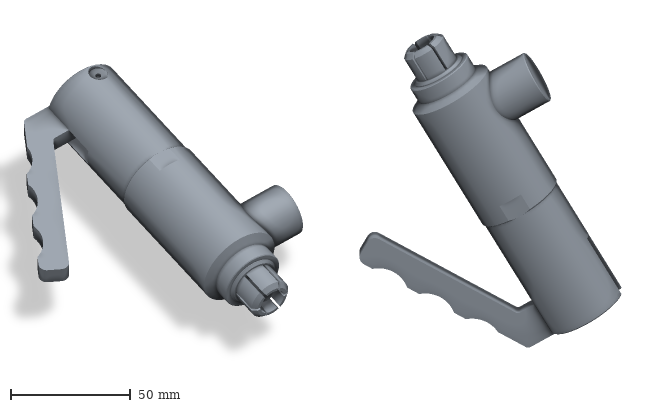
import cadquery as cq
import math

REAR_FACE_X = 0.7
REAR_DIAMETER = 34.87
REAR_CHAMFER = 0.5
SHOULDER_X = 56.1
SHOULDER_CHAMFER = 0.7
MAIN_DIAMETER = 36.2
MAIN_END_X = 114.0
COLLAR_START_X = 116.5
COLLAR_DIAMETER = 27.71
COLLAR_END_X = 123.5
COLLAR_CHAMFER = 0.35
NOSE_DIAMETER = 22.86
NOSE_END_X = 124.8
NOSE_CHAMFER = 1.0

COLLET_DIAMETER = 18.97
COLLET_TIP_DIAMETER = 14.96
COLLET_END_X = 137.57
COLLET_CHAMFER_LENGTH = 1.75
COLLET_BORE_DIAMETER = 12.0
COLLET_SLOT_COUNT = 6
COLLET_SLOT_WIDTH = 1.2
MANDREL_DIAMETER = 10.0
MANDREL_END_X = 134.0
MANDREL_CHAMFER = 2.3

PORT_X = 100.58
PORT_DIAMETER = 22.86
PORT_END_Y = 34.48
PORT_CHAMFER = 0.4

FLAT_LENGTH = 8.2
FLAT_HEIGHT = 17.35

LEVER_SLOT_WIDTH = 8.6
LEVER_SLOT_END_X = 29.5
PIVOT_X = 5.9
PIVOT_Y = 5.15
PIVOT_PIN_DIAMETER = 4.83
PIVOT_HOLE_DIAMETER = 4.98
SCREW_RECESS_DIAMETER = 8.33
SCREW_HEAD_DIAMETER = 8.16
SCREW_HEAD_Z = 14.7
SCREW_RECESS_FLOOR_Z = 12.0
SOCKET_DIAMETER = 2.5
SOCKET_DEPTH = 2.0

LEVER_THICKNESS = 7.9
LEVER_ROOT_WIDTH = 15.35
LEVER_TOP_Y = 15.1
LEVER_TOP_FILLET = 2.5
INNER_CORNER_Y = -24.9
INNER_CORNER_FILLET = 2.0
OUTER_CORNER_FILLET = 2.0
HANDLE_ANGLE = 30.0
HANDLE_LENGTH = 70.3
HANDLE_DEPTH = 12.8
HANDLE_ROOT_DEPTH = 11.15
HANDLE_TIP_FILLET = 3.5
GRIP_RADIUS = 12.7
GRIP_DEPTH = 3.15
GRIP_FIRST = 9.3
GRIP_PITCH = 22.5
GRIP_COUNT = 3


def x_cylinder(start_x, end_x, diameter):
    """Solid cylinder along the X axis."""
    return cq.Workplane("YZ", origin=(start_x, 0, 0)).circle(diameter / 2).extrude(end_x - start_x)


def turned_body():
    """Rear barrel, main barrel, collar, nose and unslotted collet as stacked round steps."""
    main_step = (MAIN_DIAMETER - COLLAR_DIAMETER) / 2
    tip_step = (COLLET_DIAMETER - COLLET_TIP_DIAMETER) / 2
    rear = x_cylinder(REAR_FACE_X, SHOULDER_X, REAR_DIAMETER).faces("<X").chamfer(REAR_CHAMFER)
    main = x_cylinder(SHOULDER_X, COLLAR_START_X, MAIN_DIAMETER).faces("<X").chamfer(SHOULDER_CHAMFER)
    main = main.faces(">X").chamfer(COLLAR_START_X - MAIN_END_X, main_step)
    collar = x_cylinder(COLLAR_START_X, COLLAR_END_X, COLLAR_DIAMETER).faces(">X").chamfer(COLLAR_CHAMFER)
    nose = x_cylinder(COLLAR_END_X, NOSE_END_X, NOSE_DIAMETER).faces(">X").chamfer(NOSE_CHAMFER)
    collet = x_cylinder(NOSE_END_X, COLLET_END_X, COLLET_DIAMETER)
    collet = collet.faces(">X").chamfer(COLLET_CHAMFER_LENGTH, tip_step)
    return rear.union(main).union(collar).union(nose).union(collet)


def side_port():
    """Round port standing on the main barrel, starting at the barrel axis."""
    port = cq.Workplane("XZ", origin=(PORT_X, 0, 0)).circle(PORT_DIAMETER / 2).extrude(-PORT_END_Y)
    return port.faces(">Y").chamfer(PORT_CHAMFER)


def collet_cut():
    """Bore of the collet and its radial slots, the first one along +Y."""
    cut = x_cylinder(NOSE_END_X, COLLET_END_X, COLLET_BORE_DIAMETER)
    length = COLLET_END_X - NOSE_END_X
    for i in range(COLLET_SLOT_COUNT):
        slot = cq.Workplane("XY", origin=(NOSE_END_X, 0, 0)).box(
            length, COLLET_DIAMETER, COLLET_SLOT_WIDTH, centered=(False, False, True)
        )
        cut = cut.union(slot.rotate((0, 0, 0), (1, 0, 0), i * 360 / COLLET_SLOT_COUNT))
    return cut


def mandrel():
    """Expander inside the collet bore."""
    return x_cylinder(NOSE_END_X, MANDREL_END_X, MANDREL_DIAMETER).faces(">X").chamfer(MANDREL_CHAMFER)


def wrench_flats():
    """Cutters for the two flats, above and below the main barrel."""
    cut = cq.Workplane("XY")
    for side in (1, -1):
        cut = cut.union(
            cq.Workplane("XY")
            .box(FLAT_LENGTH, MAIN_DIAMETER, MAIN_DIAMETER, centered=(False, True, True))
            .translate((SHOULDER_X, 0, side * (FLAT_HEIGHT + MAIN_DIAMETER / 2)))
        )
    return cut


def pivot_cylinder(diameter, bottom_z, top_z):
    """Cylinder along Z on the lever pivot axis."""
    return (
        cq.Workplane("XY", origin=(PIVOT_X, PIVOT_Y, bottom_z))
        .circle(diameter / 2)
        .extrude(top_z - bottom_z)
    )


def make_housing():
    """Barrel, port, collet and fixed pivot screw as one solid, slotted at the rear for the lever."""
    lever_slot = cq.Workplane("XY").box(
        LEVER_SLOT_END_X, MAIN_DIAMETER, LEVER_SLOT_WIDTH, centered=(False, True, True)
    )
    body = turned_body().union(side_port()).cut(collet_cut()).union(mandrel())
    body = body.cut(wrench_flats()).cut(lever_slot)
    body = body.union(pivot_cylinder(PIVOT_PIN_DIAMETER, -LEVER_SLOT_WIDTH / 2, LEVER_SLOT_WIDTH / 2))
    body = body.cut(pivot_cylinder(SCREW_RECESS_DIAMETER, SCREW_RECESS_FLOOR_Z, MAIN_DIAMETER / 2))
    body = body.union(pivot_cylinder(SCREW_HEAD_DIAMETER, SCREW_RECESS_FLOOR_Z, SCREW_HEAD_Z))
    return body.cut(pivot_cylinder(SOCKET_DIAMETER, SCREW_HEAD_Z - SOCKET_DEPTH, SCREW_HEAD_Z))


def handle_point(along, across):
    """XY point at a distance along the handle from its inner corner and across toward the grips."""
    angle = math.radians(HANDLE_ANGLE)
    return (
        LEVER_ROOT_WIDTH + along * math.cos(angle) - across * math.sin(angle),
        INNER_CORNER_Y - along * math.sin(angle) - across * math.cos(angle),
    )


def vertical_edge_at(lever, point):
    """The lever's vertical edge at an outline corner."""
    return lever.edges(cq.selectors.NearestToPointSelector((point[0], point[1], 0)))


def make_lever():
    """Flat bent lever with rounded corners, finger grips and a pivot hole."""
    angle = math.radians(HANDLE_ANGLE)
    top_left = (0, LEVER_TOP_Y)
    inner_corner = handle_point(0, 0)
    tip_inner = handle_point(HANDLE_LENGTH, 0)
    tip_outer = handle_point(HANDLE_LENGTH, HANDLE_DEPTH)
    step_bottom = handle_point(GRIP_FIRST, HANDLE_DEPTH)
    step_top = handle_point(GRIP_FIRST, HANDLE_ROOT_DEPTH)
    outer_corner = (0, step_top[1] + step_top[0] * math.tan(angle))
    lever = (
        cq.Workplane("XY", origin=(0, 0, -LEVER_THICKNESS / 2))
        .polyline(
            [
                top_left,
                (LEVER_ROOT_WIDTH, LEVER_TOP_Y),
                inner_corner,
                tip_inner,
                tip_outer,
                step_bottom,
                step_top,
                outer_corner,
            ]
        )
        .close()
        .extrude(LEVER_THICKNESS)
    )
    rounded_corners = [
        (top_left, LEVER_TOP_FILLET),
        (inner_corner, INNER_CORNER_FILLET),
        (tip_inner, HANDLE_TIP_FILLET),
        (tip_outer, HANDLE_TIP_FILLET),
        (outer_corner, OUTER_CORNER_FILLET),
    ]
    for corner, radius in rounded_corners:
        lever = vertical_edge_at(lever, corner).fillet(radius)
    grip_centre = HANDLE_DEPTH - GRIP_DEPTH + GRIP_RADIUS
    for i in range(GRIP_COUNT):
        x, y = handle_point(GRIP_FIRST + i * GRIP_PITCH, grip_centre)
        grip = cq.Workplane("XY").center(x, y).circle(GRIP_RADIUS).extrude(LEVER_THICKNESS, both=True)
        lever = lever.cut(grip)
    return lever.cut(pivot_cylinder(PIVOT_HOLE_DIAMETER, -LEVER_THICKNESS / 2, LEVER_THICKNESS / 2))


housing = make_housing()
lever = make_lever()
result = cq.Compound.makeCompound([housing.val(), lever.val()])